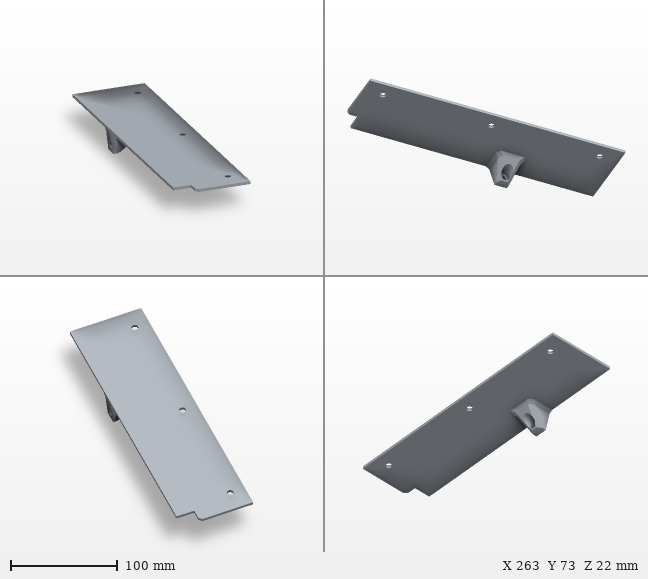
import cadquery as cq
import math

plate_length = 263.0
plate_width = 73.0
plate_thickness = 3.0
notch_length = 12.5
notch_width = 18.1
corner_chamfer = 3.0

hole_diameter = 6.3
hole_end_distance = 19.7
hole_back_distance = 15.0

total_height = 22.0
lug_center_x = 95.5
lug_tip_width = 13.0
lug_tip_depth = 8.7
lug_side_angle = 17.5
lug_back_angle = 45.0
lug_hole_height = 6.5
counterbore_diameter = 11.0
counterbore_wall = 5.0
root_chamfer = 3.0
bevel_across = 3.2
bevel_along = 4.5

lug_height = total_height - plate_thickness


def make_plate():
    blank = cq.Workplane("XY").box(plate_length, plate_width, plate_thickness, centered=False)
    notch = (
        cq.Workplane("XY")
        .box(notch_length, notch_width, plate_thickness, centered=False)
        .translate((plate_length - notch_length, 0, 0))
    )
    notched = blank.cut(notch)
    corner = cq.selectors.NearestToPointSelector((plate_length, notch_width, plate_thickness / 2))
    return notched.edges("|Z").edges(corner).chamfer(corner_chamfer)


def lug_section(half_width, z):
    """Horizontal outline of the lug, with bevelled rear corners."""
    depth = lug_tip_depth + (z + lug_height) * math.tan(math.radians(lug_back_angle))
    inner_half = half_width - bevel_across
    return cq.Wire.makePolygon(
        [
            cq.Vector(lug_center_x - half_width, 0, z),
            cq.Vector(lug_center_x + half_width, 0, z),
            cq.Vector(lug_center_x + half_width, depth - bevel_along, z),
            cq.Vector(lug_center_x + inner_half, depth, z),
            cq.Vector(lug_center_x - inner_half, depth, z),
            cq.Vector(lug_center_x - half_width, depth - bevel_along, z),
        ],
        close=True,
    )


def make_lug():
    side_slope = math.radians(lug_side_angle)
    tip_half = lug_tip_width / 2
    root_half = tip_half + lug_height * math.tan(side_slope)
    neck_half = root_half - root_chamfer * math.sin(side_slope)
    neck_z = -root_chamfer * math.cos(side_slope)

    tip = lug_section(tip_half, -lug_height)
    neck = lug_section(neck_half, neck_z)
    root = lug_section(root_half + root_chamfer, 0)
    tapered_body = cq.Workplane(cq.Solid.makeLoft([tip, neck], True))
    flare = cq.Workplane(cq.Solid.makeLoft([neck, root], True))
    return tapered_body.union(flare)


def plate_holes():
    y = plate_width - hole_back_distance
    xs = (hole_end_distance, plate_length / 2, plate_length - hole_end_distance)
    return (
        cq.Workplane("XY")
        .pushPoints([(x, y) for x in xs])
        .circle(hole_diameter / 2)
        .extrude(plate_thickness)
    )


def lug_bore(diameter, start_y):
    """Cylinder along the lug hole's axis, running backward from start_y."""
    return (
        cq.Workplane("XZ", origin=(lug_center_x, start_y, lug_hole_height - lug_height))
        .circle(diameter / 2)
        .extrude(-plate_width)
    )


body = make_plate().union(make_lug()).cut(plate_holes())
result = body.cut(lug_bore(hole_diameter, 0)).cut(lug_bore(counterbore_diameter, counterbore_wall))